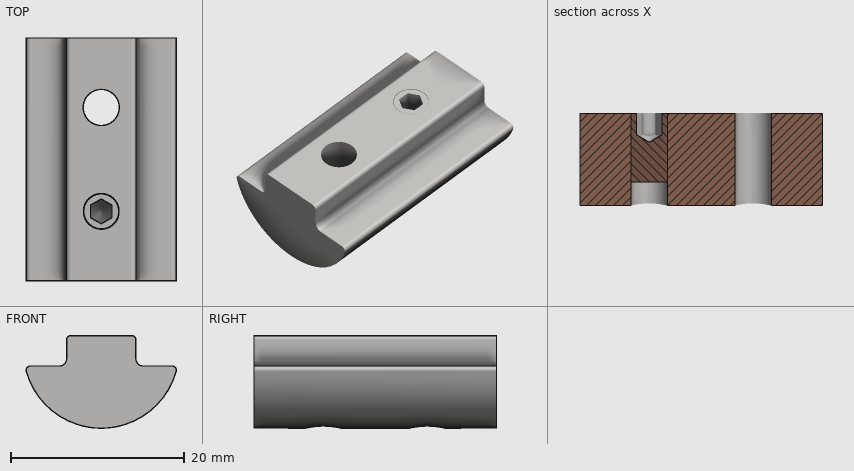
import cadquery as cq
import math

length = 28.0
height = 10.7
arc_radius = 9.0
neck_width = 8.0
neck_height = 3.5
edge_radius = 0.5
root_radius = 0.8
shoulder_z = height - neck_height

hole_diameter = 4.15
hole_offset = 6.0

screw_length = 8.0
screw_chamfer = 0.07
socket_flats = 2.5
socket_depth = 2.52
socket_tip_angle = 120.0


def long_edges(body, x, z):
    """Edges along Y that run at height z, at x and at its mirror image -x."""
    reach = 0.03
    right = cq.selectors.BoxSelector((x - reach, -length, z - reach), (x + reach, length, z + reach))
    left = cq.selectors.BoxSelector((-x - reach, -length, z - reach), (-x + reach, length, z + reach))
    return body.edges("|Y").edges(left + right)


def make_nut():
    """T-shaped section with a round underside, rounded edges and two through holes."""
    half_neck = neck_width / 2
    shoulder_x = math.sqrt(arc_radius**2 - (shoulder_z - arc_radius) ** 2)
    section = (
        cq.Workplane("XZ", origin=(0, length / 2, 0))
        .moveTo(-shoulder_x, shoulder_z)
        .threePointArc((0, 0), (shoulder_x, shoulder_z))
        .lineTo(half_neck, shoulder_z)
        .lineTo(half_neck, height)
        .lineTo(-half_neck, height)
        .lineTo(-half_neck, shoulder_z)
        .close()
    )
    nut = section.extrude(length)

    nut = long_edges(nut, half_neck, height).fillet(edge_radius)
    nut = long_edges(nut, shoulder_x, shoulder_z).fillet(edge_radius)
    nut = long_edges(nut, half_neck, shoulder_z).fillet(root_radius)

    holes = (
        cq.Workplane("XY")
        .pushPoints([(0, hole_offset), (0, -hole_offset)])
        .circle(hole_diameter / 2)
        .extrude(height)
    )
    return nut.cut(holes)


def make_screw():
    """Headless set screw with a hexagon socket that ends in a drilled cone."""
    screw = (
        cq.Workplane("XY", origin=(0, -hole_offset, height - screw_length))
        .circle(hole_diameter / 2)
        .extrude(screw_length)
        .faces(">Z")
        .chamfer(screw_chamfer)
    )
    corner_radius = socket_flats / 2 / math.cos(math.radians(30))
    tip_depth = corner_radius / math.tan(math.radians(socket_tip_angle / 2))
    full_depth = socket_depth + tip_depth
    hexagon = (
        cq.Workplane("XY", origin=(0, -hole_offset, height - full_depth))
        .transformed(rotate=(0, 0, 90))
        .polygon(6, 2 * corner_radius)
        .extrude(full_depth)
    )
    drilling = (
        cq.Workplane("XZ", origin=(0, -hole_offset, height))
        .lineTo(corner_radius, 0)
        .lineTo(corner_radius, -socket_depth)
        .lineTo(0, -full_depth)
        .close()
        .revolve(360, (0, 0, 0), (0, 1, 0))
    )
    return screw.cut(hexagon.intersect(drilling))


nut = make_nut()
screw = make_screw()

result = cq.Compound.makeCompound([nut.val(), screw.val()])